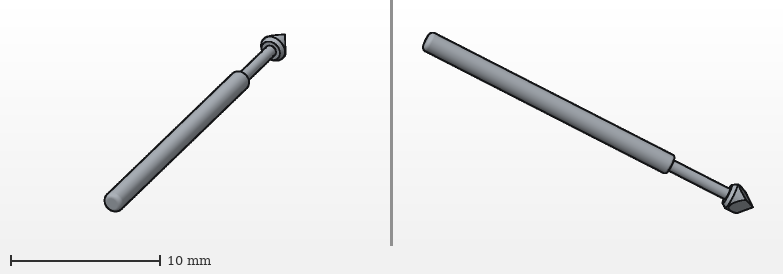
import cadquery as cq
import math

total_length = 24.8
barrel_diameter = 1.4
barrel_length = 18.55
tail_fillet = 0.3
shoulder_fillet = 0.2
plunger_diameter = 0.8
head_diameter = 1.8
head_length = 1.95
head_chamfer_length = 0.3
head_back_diameter = 1.4
facet_count = 3
facet_slope = 0.58

barrel_radius = barrel_diameter / 2
plunger_radius = plunger_diameter / 2
head_radius = head_diameter / 2
head_back = total_length - head_length


def make_barrel():
    """Round barrel with rounded rims at both ends."""
    barrel = cq.Workplane("XZ").circle(barrel_radius).extrude(-barrel_length)
    barrel = barrel.faces("<Y").edges().fillet(tail_fillet)
    return barrel.faces(">Y").edges().fillet(shoulder_fillet)


def make_plunger():
    """Thin rod joining the barrel to the head."""
    rod_length = head_back - barrel_length
    return cq.Workplane("XZ", origin=(0, barrel_length, 0)).circle(plunger_radius).extrude(-rod_length)


def make_head():
    """Cylinder with a tapered back, cut to a pyramid point with one ridge on -X."""
    blank = (
        cq.Workplane("XY")
        .moveTo(0, head_back)
        .lineTo(head_back_diameter / 2, head_back)
        .lineTo(head_radius, head_back + head_chamfer_length)
        .lineTo(head_radius, total_length)
        .lineTo(0, total_length)
        .close()
        .revolve(360, (0, 0, 0), (0, 1, 0))
    )
    pyramid_length = 2 * head_length
    corner_radius = pyramid_length * facet_slope / math.cos(math.pi / facet_count)
    base_corners = []
    for index in range(facet_count):
        angle = math.pi + index * 2 * math.pi / facet_count
        corner = cq.Vector(
            corner_radius * math.cos(angle),
            total_length - pyramid_length,
            corner_radius * math.sin(angle),
        )
        base_corners.append(corner)
    tip = cq.Vector(0, total_length, 0)
    faces = [cq.Face.makeFromWires(cq.Wire.makePolygon(base_corners, close=True))]
    for index, corner in enumerate(base_corners):
        next_corner = base_corners[(index + 1) % facet_count]
        outline = cq.Wire.makePolygon([corner, next_corner, tip], close=True)
        faces.append(cq.Face.makeFromWires(outline))
    pyramid = cq.Solid.makeSolid(cq.Shell.makeShell(faces))
    return blank.intersect(cq.Workplane(obj=pyramid))


result = make_barrel().union(make_plunger()).union(make_head())